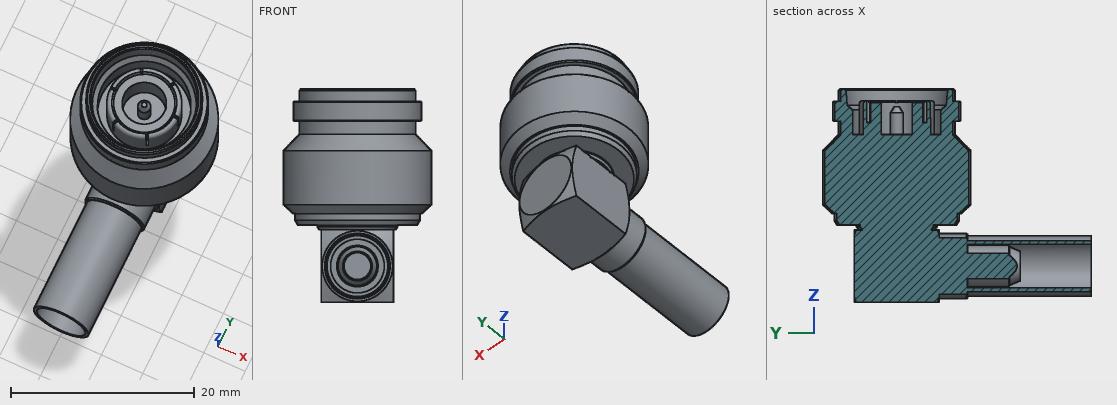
import cadquery as cq
import math


block_width = 7.92
block_length = 9.3
block_end_radius = 3.85
block_corner_setback = 0.7
block_top = block_width / 2

collar_radius = 4.4
collar_foot_radius = 4.17
collar_taper_height = 0.32

nut_bottom = 4.45
flange_taper_top = 5.0
flange_top = 5.72
body_bottom = 6.72
body_top = 12.6
neck_bottom = 14.38
ring_bottom = 15.8
ring_top = 18.02
nut_top = 19.35

flange_foot_radius = 6.52
flange_radius = 6.85
body_foot_radius = 7.05
body_radius = 8.1
neck_radius = 6.37
ring_radius = 7.0
ring_chamfer = 0.15
rim_chamfer = 0.18

mouth_radius = 5.8
mouth_bevel = 0.15
mouth_seat_radius = 5.65
mouth_depth = 1.8
cavity_radius = 5.1
cavity_taper_height = 0.5
cavity_floor = neck_bottom

sleeve_radius = 4.1
sleeve_rim_radius = 3.73
sleeve_rim_inner_radius = 3.55
sleeve_bore_radius = 3.35
sleeve_inner_bevel = 0.18
sleeve_top = nut_top - 1.3
slot_count = 6
slot_width = 0.23
slot_depth = 2.35
insulator_top = sleeve_top - sleeve_inner_bevel
insulator_bore_radius = 2.4
pin_radius = 0.7
pin_tip_radius = 0.3
pin_top = nut_top - 1.97
pin_tip_height = 0.65

shoulder_end = 7.75
cable_end = 21.25
shoulder_radius = 3.58
shoulder_chamfer_length = 0.18
shoulder_chamfer_height = 0.12
tube_radius = 3.32
tube_bore_radius = 2.94
tube_bore_floor = shoulder_end

ferrule_radius = 2.25
ferrule_lip_radius = 2.1
ferrule_tip_radius = 1.6
ferrule_bore_radius = 1.47
ferrule_end = 13.5
ferrule_taper_length = 1.17
ferrule_lip_bevel = 0.1
ferrule_bore_bevel = 0.15


def turned_on_z(profile):
    """Revolve a closed outline of (radius, z) points about Z."""
    return cq.Workplane("XZ").polyline(profile).close().revolve(360, (0, 0), (0, 1))


def turned_on_cable(profile):
    """Revolve a closed outline of (radius, distance along -Y) points about Y."""
    outline = [(radius, -distance) for radius, distance in profile]
    return cq.Workplane("XY").polyline(outline).close().revolve(360, (0, 0), (0, 1))


def elbow_block():
    """Square block whose two Y ends are trimmed by shallow cones."""
    half_length = block_length / 2
    corner_radius = block_width / math.sqrt(2)
    cone_base = half_length - block_corner_setback
    envelope = turned_on_cable([
        (0, -half_length),
        (block_end_radius, -half_length),
        (corner_radius, -cone_base),
        (corner_radius, cone_base),
        (block_end_radius, half_length),
        (0, half_length),
    ])
    return cq.Workplane("XY").box(block_width, block_length, block_width).intersect(envelope)


def coupling_nut():
    """Outside of the collar and nut, without the cavity."""
    return turned_on_z([
        (0, block_top),
        (collar_foot_radius, block_top),
        (collar_radius, block_top + collar_taper_height),
        (collar_radius, nut_bottom),
        (flange_foot_radius, nut_bottom),
        (flange_radius, flange_taper_top),
        (flange_radius, flange_top),
        (body_foot_radius, flange_top),
        (body_radius, body_bottom),
        (body_radius, body_top),
        (neck_radius, neck_bottom),
        (neck_radius, ring_bottom),
        (ring_radius - ring_chamfer, ring_bottom),
        (ring_radius, ring_bottom + ring_chamfer),
        (ring_radius, ring_top - ring_chamfer),
        (ring_radius - ring_chamfer, ring_top),
        (neck_radius, ring_top),
        (neck_radius, nut_top - rim_chamfer),
        (neck_radius - rim_chamfer, nut_top),
        (0, nut_top),
    ])


def nut_cavity():
    """Bevelled mouth that tapers down to the narrower main cavity."""
    mouth_bottom = nut_top - mouth_depth
    return turned_on_z([
        (0, cavity_floor),
        (cavity_radius, cavity_floor),
        (cavity_radius, mouth_bottom - cavity_taper_height),
        (mouth_seat_radius, mouth_bottom),
        (mouth_radius, nut_top - mouth_bevel),
        (mouth_radius + mouth_bevel, nut_top),
        (0, nut_top),
    ])


def contact_sleeve():
    """Sleeve with a rounded nose, split by radial slots."""
    nose = sleeve_radius - sleeve_rim_radius
    nose_middle = nose * math.sqrt(0.5)
    sleeve = (
        cq.Workplane("XZ")
        .moveTo(sleeve_bore_radius, cavity_floor)
        .lineTo(sleeve_radius, cavity_floor)
        .lineTo(sleeve_radius, sleeve_top - nose)
        .threePointArc(
            (sleeve_rim_radius + nose_middle, sleeve_top - nose + nose_middle),
            (sleeve_rim_radius, sleeve_top),
        )
        .lineTo(sleeve_rim_inner_radius, sleeve_top)
        .lineTo(sleeve_bore_radius, sleeve_top - sleeve_inner_bevel)
        .close()
        .revolve(360, (0, 0), (0, 1))
    )
    for index in range(slot_count // 2):
        slot = (
            cq.Workplane("XY", origin=(0, 0, sleeve_top - slot_depth))
            .rect(2 * body_radius, slot_width)
            .extrude(slot_depth)
            .rotate((0, 0, 0), (0, 0, 1), index * 360 / slot_count)
        )
        sleeve = sleeve.cut(slot)
    return sleeve


def insulator():
    """Insulating tube that fills the contact sleeve."""
    return (
        cq.Workplane("XY", origin=(0, 0, cavity_floor))
        .circle(sleeve_bore_radius)
        .circle(insulator_bore_radius)
        .extrude(insulator_top - cavity_floor)
    )


def centre_pin():
    """Pin with a blunt conical tip."""
    return turned_on_z([
        (0, cavity_floor),
        (pin_radius, cavity_floor),
        (pin_radius, pin_top - pin_tip_height),
        (pin_tip_radius, pin_top),
        (0, pin_top),
    ])


def cable_tube():
    """Shoulder and hollow crimp tube leaving the block along -Y."""
    return turned_on_cable([
        (0, 0),
        (shoulder_radius, 0),
        (shoulder_radius, shoulder_end - shoulder_chamfer_length),
        (shoulder_radius - shoulder_chamfer_height, shoulder_end),
        (tube_radius, shoulder_end),
        (tube_radius, cable_end),
        (tube_bore_radius, cable_end),
        (tube_bore_radius, tube_bore_floor),
        (0, tube_bore_floor),
    ])


def ferrule():
    """Tapered inner sleeve standing on the floor of the tube bore."""
    taper_start = ferrule_end - ferrule_taper_length
    return turned_on_cable([
        (ferrule_bore_radius, tube_bore_floor),
        (ferrule_radius, tube_bore_floor),
        (ferrule_radius, taper_start - ferrule_lip_bevel),
        (ferrule_lip_radius, taper_start),
        (ferrule_tip_radius, ferrule_end),
        (ferrule_bore_radius, ferrule_end - ferrule_bore_bevel),
    ])


coupling = coupling_nut().cut(nut_cavity())
coupling = coupling.union(contact_sleeve()).union(insulator()).union(centre_pin())
cable_side = cable_tube().union(ferrule())
result = elbow_block().union(coupling).union(cable_side)